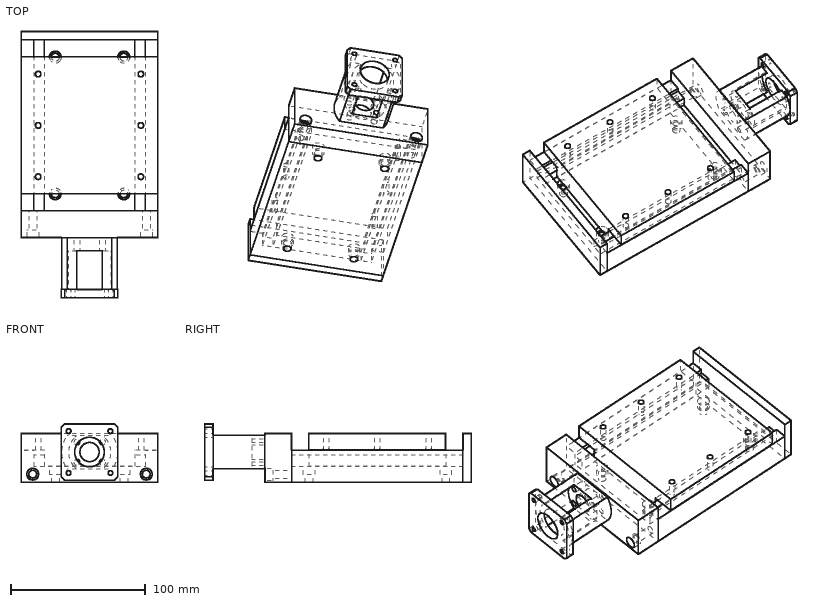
import cadquery as cq


flange_thickness = 6.3
bracket_length = 44.7
drive_block_length = 19.8
base_length = 127.0
overall_length = 197.9

drive_block_y = bracket_length
base_y = drive_block_y + drive_block_length
end_plate_y = base_y + base_length
base_center_y = base_y + base_length / 2

stage_width = 101.5
stage_height = 36.5
base_height = 24.0

rim_width = 9.3
channel_floor_z = 11.9
channel_width = stage_width - 2 * rim_width

rail_width = 8.0
rail_top_z = 20.5

carriage_length = 101.7
carriage_gap = 0.4
carriage_bottom_z = base_height + carriage_gap
keel_width = channel_width - 2 * rail_width
keel_bottom_z = channel_floor_z + carriage_gap
table_hole_diameter = 4.2
table_hole_spacing_x = 76.2
table_hole_spacing_y = table_hole_spacing_x / 2

screw_hole_diameter = 5.7
counterbore_diameter = 8.7
counterbore_depth = 6.0
base_hole_spacing_x = 50.9
base_hole_spacing_y = 101.5
block_hole_spacing = 84.3
block_hole_z = 6.1

motor_axis_z = 22.5
flange_size = 42.0
flange_chamfer = 2.5
motor_hole_spacing = 31.0
motor_hole_diameter = 3.4
pilot_diameter = 22.0
tube_diameter = 41.5
tube_flat_height = 25.1
chamber_diameter = 31.3
chamber_end_y = 34.8
shaft_hole_diameter = 14.2
bracket_screw_spacing_x = 19.0
bracket_screw_spacing_z = 15.0
bracket_screw_diameter = 4.4


def box(width, y_start, y_end, z_bottom, z_top, center_x=0):
    """Box centred on center_x, between the given Y and Z limits."""
    return cq.Workplane("XY").box(
        width, y_end - y_start, z_top - z_bottom, centered=(True, False, False)
    ).translate((center_x, y_start, z_bottom))


def motor_plane(y):
    """Workplane at the given Y, centred on the motor axis and facing the motor."""
    return cq.Workplane("XZ", origin=(0, y, motor_axis_z))


def cylinder_on_axis(diameter, y_start, y_end):
    return motor_plane(y_start).circle(diameter / 2).extrude(y_start - y_end)


def four_pins(spacing_x, spacing_z, diameter, y_start, y_end):
    """Four pins parallel to Y at the corners of a rectangle around the motor axis."""
    points = motor_plane(y_start).rect(spacing_x, spacing_z, forConstruction=True).vertices()
    return points.circle(diameter / 2).extrude(y_start - y_end)


def make_base():
    body = box(stage_width, base_y, end_plate_y, 0, base_height)
    body = body.cut(box(channel_width, base_y, end_plate_y, channel_floor_z, base_height))
    holes = (
        cq.Workplane("XY", origin=(0, base_center_y, channel_floor_z))
        .rect(base_hole_spacing_x, base_hole_spacing_y, forConstruction=True)
        .vertices()
    )
    through = holes.circle(screw_hole_diameter / 2).extrude(-channel_floor_z)
    recesses = holes.circle(counterbore_diameter / 2).extrude(-counterbore_depth)
    return body.cut(through).cut(recesses)


def make_end_plate():
    return box(stage_width, end_plate_y, overall_length, 0, stage_height)


def make_drive_block():
    body = box(stage_width, drive_block_y, base_y, 0, stage_height)
    holes = cq.Workplane("XZ", origin=(0, drive_block_y, block_hole_z)).pushPoints(
        [(-block_hole_spacing / 2, 0), (block_hole_spacing / 2, 0)]
    )
    through = holes.circle(screw_hole_diameter / 2).extrude(-drive_block_length)
    recesses = holes.circle(counterbore_diameter / 2).extrude(-counterbore_depth)
    return body.cut(through).cut(recesses)


def make_rail(side):
    """Guide rail on the -X side (side = -1) or the +X side (side = 1)."""
    center_x = side * (channel_width - rail_width) / 2
    return box(rail_width, base_y, end_plate_y, channel_floor_z, rail_top_z, center_x)


def make_carriage():
    y_start = base_center_y - carriage_length / 2
    y_end = base_center_y + carriage_length / 2
    table = box(stage_width, y_start, y_end, carriage_bottom_z, stage_height)
    keel = box(keel_width, y_start, y_end, keel_bottom_z, carriage_bottom_z)
    table_holes = (
        cq.Workplane("XY", origin=(0, base_center_y, carriage_bottom_z))
        .rarray(table_hole_spacing_x, table_hole_spacing_y, 2, 3)
        .circle(table_hole_diameter / 2)
        .extrude(stage_height - carriage_bottom_z)
    )
    return table.union(keel).cut(table_holes)


def make_motor_bracket():
    flange = motor_plane(0).rect(flange_size, flange_size).extrude(-flange_thickness)
    flange = flange.edges("|Y").chamfer(flange_chamfer)
    motor_holes = four_pins(
        motor_hole_spacing, motor_hole_spacing, motor_hole_diameter, 0, flange_thickness
    )

    flats = (
        motor_plane(flange_thickness)
        .rect(tube_diameter, tube_flat_height)
        .extrude(flange_thickness - bracket_length)
    )
    tube = cylinder_on_axis(tube_diameter, flange_thickness, bracket_length).intersect(flats)

    body = flange.union(tube)
    body = body.cut(cylinder_on_axis(pilot_diameter, 0, flange_thickness))
    body = body.cut(cylinder_on_axis(chamber_diameter, flange_thickness, chamber_end_y))
    body = body.cut(cylinder_on_axis(shaft_hole_diameter, chamber_end_y, bracket_length))
    bracket_screw_holes = four_pins(
        bracket_screw_spacing_x,
        bracket_screw_spacing_z,
        bracket_screw_diameter,
        chamber_end_y,
        bracket_length,
    )
    return body.cut(motor_holes).cut(bracket_screw_holes)


base = make_base()
end_plate = make_end_plate()
drive_block = make_drive_block()
rails = [make_rail(side) for side in (-1, 1)]
carriage = make_carriage()
motor_bracket = make_motor_bracket()

result = cq.Compound.makeCompound(
    [
        base.val(),
        end_plate.val(),
        drive_block.val(),
        *[rail.val() for rail in rails],
        carriage.val(),
        motor_bracket.val(),
    ]
)